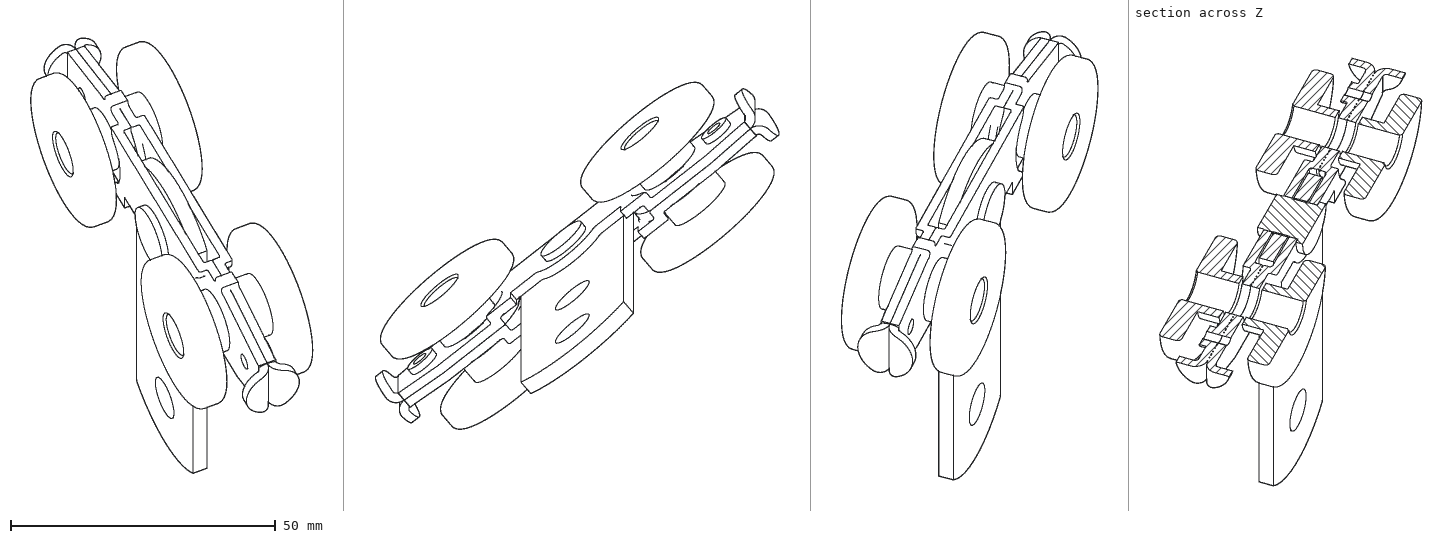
import cadquery as cq
import math


length = 89.6
width = 22.4
wheel_axis_x = 24.5
sides = (-1, 1)

wheel_diameter = 29.9
wheel_width = 4.5
wheel_edge_radius = 0.9
hub_diameter = 12.4
hub_inner_y = 2.3
wheel_bore = 8.2
wheel_bore_chamfer = 0.45

sheet = 1.8
leaf_slit = 0.02
leaf_top_z = 9.4
leaf_shoulder_z = -4.8
skirt_z = -8.0
skirt_end_x = 13.4
taper_start_x = 27.1
taper_end_x = 41.6
taper_slope = 0.25
axle_hole = 8.5

pocket_half_width = 1.7
raised_y = pocket_half_width + sheet
joggle_radius = 8.8
joggle_offset_x = 4.8
joggle_blend_radius = 2.7
joggle_edge_radius = 0.4

curl_inner_radius = 0.7
curl_outer_radius = curl_inner_radius + sheet
curl_disc_radius = 5.6
curl_start_x = length / 2 - curl_outer_radius

bridge_length = 2.8
bridge_top_z = leaf_top_z + 1.4
bridge_edge_radius = 0.5
bridge_foot_radius = 0.6

boss_x = 35.9
boss_diameter = 6.0
boss_height = 1.3
boss_bore = 3.0

rivet_z = -1.1
rivet_shank = 9.9
rivet_head = 12.0
rivet_stand_out = 1.3
rivet_lobe_radius = 8.0
lobe_fillet = 1.4

hanger_width = 25.1
hanger_thickness = 3.0
hanger_top_z = 11.0
hanger_top_radius = 17.0
hanger_bottom_z = -64.1
hanger_corner_z = -59.6
hanger_rivet_hole = 10.2
hanger_hole = 8.2
hanger_hole_heights = (-29.4, -50.9)


def rod(diameter, x, z, y_start, y_end):
    """Solid cylinder along Y between two Y positions."""
    return (
        cq.Workplane("XZ", origin=(x, y_start, z))
        .circle(diameter / 2)
        .extrude(y_start - y_end)
    )


def along_y(sketch_outline, y_start, y_end):
    """Extrude an XZ outline from y_start to y_end."""
    return sketch_outline.extrude(y_start - y_end).translate((0, y_start, 0))


def make_wheel(x, side):
    """Wheel with rounded rims and a hub that points to the carriage."""
    outer_y = width / 2
    inner_y = outer_y - wheel_width
    disc = rod(wheel_diameter, x, 0, inner_y, outer_y).edges().fillet(wheel_edge_radius)
    wheel = disc.union(rod(hub_diameter, x, 0, hub_inner_y, inner_y))
    wheel = wheel.cut(rod(wheel_bore, x, 0, hub_inner_y, outer_y))
    wheel = wheel.faces(">Y").edges(cq.selectors.RadiusNthSelector(0)).chamfer(wheel_bore_chamfer)
    if side < 0:
        wheel = wheel.mirror("XZ")
    return wheel


def leaf_outline():
    """Outline of one leaf without its curled ends."""
    taper_rise = taper_slope * (taper_end_x - taper_start_x)
    end_z = leaf_top_z - taper_rise
    skirt_start_x = taper_end_x - (-skirt_z - end_z) / taper_slope
    right = [
        (taper_start_x, leaf_top_z),
        (taper_end_x, end_z),
        (curl_start_x, end_z),
        (curl_start_x, -end_z),
        (taper_end_x, -end_z),
        (skirt_start_x, skirt_z),
        (skirt_end_x, skirt_z),
        (skirt_end_x, leaf_shoulder_z),
    ]
    left = [(-x, z) for x, z in reversed(right)]
    return cq.Workplane("XZ").polyline(right + left).close()


def end_region(side, depth, growth):
    """Tool over one end of the carriage that curves round the wheel hub, grown by the given amount."""
    inner_x = wheel_axis_x - joggle_offset_x - growth
    block = (
        cq.Workplane("XY", origin=(side * (inner_x + length / 2), 0, 0))
        .box(length, depth, length, centered=(True, False, True))
    )
    region = block.union(rod(2 * (joggle_radius + growth), side * wheel_axis_x, 0, 0, depth))
    blend_corners = cq.selectors.BoxSelector(
        (side * inner_x - 0.1, -0.9, -joggle_radius - growth),
        (side * inner_x + 0.1, depth + 0.9, joggle_radius + growth),
    )
    return region.edges("|Y").edges(blend_corners).fillet(joggle_blend_radius - growth)


def joggle_edges(y):
    """Selector for the joggle edges of both ends that lie at one Y."""
    boxes = []
    for side in sides:
        near_x = side * (wheel_axis_x - joggle_radius - sheet)
        far_x = side * (wheel_axis_x - joggle_offset_x + joggle_edge_radius)
        low = (min(near_x, far_x), y - 0.01, skirt_z + joggle_edge_radius / 4)
        high = (max(near_x, far_x), y + 0.01, leaf_top_z - joggle_edge_radius / 4)
        boxes.append(cq.selectors.BoxSelector(low, high))
    return boxes[0] + boxes[1]


def add_rivet_lobe(leaf):
    """Round lobe around the rivet, blended into the lower edge of the leaf."""
    lobe = rod(2 * rivet_lobe_radius, 0, rivet_z, 0, raised_y)
    blend_corners = cq.selectors.BoxSelector(
        (-rivet_lobe_radius, 0, leaf_shoulder_z - 0.1),
        (rivet_lobe_radius, raised_y, leaf_shoulder_z + 0.1),
    )
    return leaf.union(lobe).edges("|Y").edges(blend_corners).fillet(lobe_fillet)


def make_leaf():
    """Back leaf (+Y) with its raised middle, rivet lobe and curled ends."""
    leaf = add_rivet_lobe(along_y(leaf_outline(), 0, raised_y))
    pocket = cq.Workplane("XY").box(length, pocket_half_width, length, centered=(True, False, True))
    for side in sides:
        recess = end_region(side, raised_y, 0)
        leaf = leaf.cut(recess.translate((0, sheet, 0)))
        pocket = pocket.cut(end_region(side, raised_y, sheet))
    leaf = leaf.cut(pocket)
    for y in (0, pocket_half_width, sheet, raised_y):
        leaf = leaf.edges(joggle_edges(y)).fillet(joggle_edge_radius)
    leaf = leaf.cut(cq.Workplane("XY").box(length, leaf_slit, length))
    for side in sides:
        leaf = leaf.union(make_curl(side))
    return leaf


def make_curl(side):
    """Sheet end that bends outward into a flange with a round outline."""
    end_x = length / 2
    inner_x = end_x - sheet
    bend_y = leaf_slit / 2 + curl_outer_radius
    outer_mid = curl_outer_radius * math.sqrt(0.5)
    inner_mid = curl_inner_radius * math.sqrt(0.5)
    section = (
        cq.Workplane("XY")
        .moveTo(curl_start_x, leaf_slit / 2)
        .threePointArc((curl_start_x + outer_mid, bend_y - outer_mid), (end_x, bend_y))
        .lineTo(end_x, curl_disc_radius)
        .lineTo(inner_x, curl_disc_radius)
        .lineTo(inner_x, bend_y)
        .threePointArc(
            (curl_start_x + inner_mid, bend_y - inner_mid),
            (curl_start_x, bend_y - curl_inner_radius),
        )
        .close()
        .extrude(curl_disc_radius, both=True)
    )
    disc = cq.Workplane("YZ").circle(curl_disc_radius).extrude(length)
    curl = section.intersect(disc)
    if side < 0:
        curl = curl.mirror("YZ")
    return curl


def make_bridge(x):
    """Fold that joins the tops of both leaves over a wheel axis, with flared feet."""
    half_length = bridge_length / 2
    foot_x = half_length + bridge_foot_radius
    foot_z = leaf_top_z + bridge_foot_radius
    arc_offset = bridge_foot_radius * (1 - math.sqrt(0.5))
    outline = (
        cq.Workplane("XZ")
        .moveTo(-foot_x, leaf_top_z)
        .threePointArc((-half_length - arc_offset, leaf_top_z + arc_offset), (-half_length, foot_z))
        .lineTo(-half_length, bridge_top_z)
        .lineTo(half_length, bridge_top_z)
        .lineTo(half_length, foot_z)
        .threePointArc((half_length + arc_offset, leaf_top_z + arc_offset), (foot_x, leaf_top_z))
        .close()
    )
    bridge = along_y(outline, -sheet, sheet).edges("|X and >Z").fillet(bridge_edge_radius)
    return bridge.translate((x, 0, 0))


def make_carriage():
    """Folded sheet carriage with its holes, bosses and bridges."""
    back_leaf = make_leaf()
    carriage = back_leaf.union(back_leaf.mirror("XZ"))
    for side in sides:
        axis_x = side * wheel_axis_x
        carriage = carriage.union(make_bridge(axis_x))
        carriage = carriage.cut(rod(axle_hole, axis_x, 0, -sheet, sheet))
        boss = rod(boss_diameter, side * boss_x, 0, sheet, sheet + boss_height)
        carriage = carriage.union(boss)
        carriage = carriage.cut(rod(boss_bore, side * boss_x, 0, -sheet, sheet + boss_height))
    return carriage.cut(rod(rivet_shank, 0, rivet_z, -raised_y, raised_y))


def make_rivet():
    """Rivet with a wide front head and a shank that stands out at the back."""
    head = rod(rivet_head, 0, rivet_z, -raised_y - rivet_stand_out, -raised_y)
    shank = rod(rivet_shank, 0, rivet_z, -raised_y, raised_y + rivet_stand_out)
    return head.union(shank)


def make_hanger():
    """Flat hanger bar with arched ends, a rivet hole and two fixing holes."""
    half_width = hanger_width / 2
    arch_rise = hanger_top_radius - math.sqrt(hanger_top_radius**2 - half_width**2)
    shoulder_z = hanger_top_z - arch_rise
    outline = (
        cq.Workplane("XZ")
        .moveTo(-half_width, shoulder_z)
        .threePointArc((0, hanger_top_z), (half_width, shoulder_z))
        .lineTo(half_width, hanger_corner_z)
        .threePointArc((0, hanger_bottom_z), (-half_width, hanger_corner_z))
        .close()
    )
    half_thickness = hanger_thickness / 2
    hanger = outline.extrude(half_thickness, both=True)
    hanger = hanger.cut(rod(hanger_rivet_hole, 0, rivet_z, -half_thickness, half_thickness))
    for z in hanger_hole_heights:
        hanger = hanger.cut(rod(hanger_hole, 0, z, -half_thickness, half_thickness))
    return hanger


wheels = [make_wheel(end * wheel_axis_x, side) for end in sides for side in sides]
carriage = make_carriage()
rivet = make_rivet()
hanger = make_hanger()

result = cq.Compound.makeCompound(
    [carriage.val(), rivet.val(), hanger.val(), *[wheel.val() for wheel in wheels]]
)